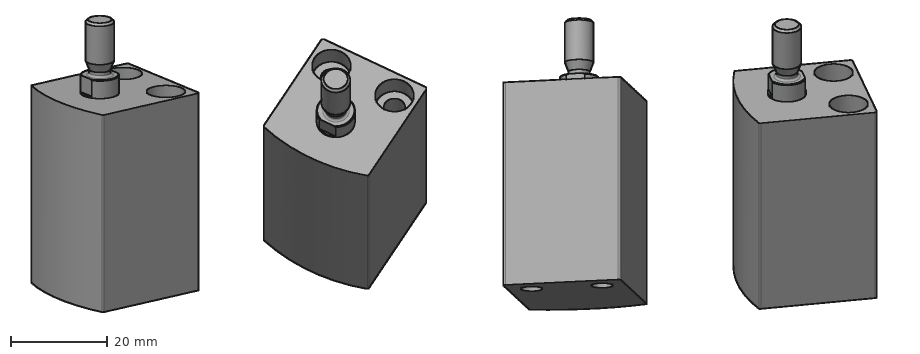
import cadquery as cq
import math

WIDTH = 25.0
SIDE_DEPTH = 25.0
DEPTH = 27.0
HOUSING_HEIGHT = 43.0
CORNER_RADIUS = 0.5
FRONT_CORNER_RADIUS = 0.35

HOLE_SPACING = 15.0
HOLE_FROM_BACK = 5.0
HOLE_DIAMETER = 4.5
COUNTERBORE_DIAMETER = 8.0
COUNTERBORE_DEPTH = 4.6

ROD_FROM_BACK = 16.5
TOTAL_HEIGHT = 59.0
COLLAR_DIAMETER = 8.0
COLLAR_HEIGHT = 4.0
COLLAR_CHAMFER = 0.2
ACROSS_FLATS = 7.0
FLAT_START = 0.35
NECK_DIAMETER = 4.5
NECK_FILLET = 0.5
NECK_LENGTH = 1.1
TAPER_LENGTH = 1.95
STUD_DIAMETER = 6.0
TIP_CHAMFER = 0.55
SOCKET_DEPTH = 5.9

SOCKET_FLOOR_Z = HOUSING_HEIGHT - SOCKET_DEPTH
BACK_Y = ROD_FROM_BACK
SIDE_FRONT_Y = BACK_Y - SIDE_DEPTH
FRONT_Y = BACK_Y - DEPTH


def make_housing():
    half = WIDTH / 2
    body = (
        cq.Workplane("XY")
        .moveTo(-half, BACK_Y)
        .lineTo(-half, SIDE_FRONT_Y)
        .threePointArc((0, FRONT_Y), (half, SIDE_FRONT_Y))
        .lineTo(half, BACK_Y)
        .close()
        .extrude(HOUSING_HEIGHT)
    )
    body = body.edges("|Z and >Y").fillet(CORNER_RADIUS)
    body = body.edges("|Z").edges("<Y").fillet(FRONT_CORNER_RADIUS)
    hole_y = BACK_Y - HOLE_FROM_BACK
    body = (
        body.faces(">Z")
        .workplane(origin=(0, 0, HOUSING_HEIGHT))
        .pushPoints([(side * HOLE_SPACING / 2, hole_y) for side in (-1, 1)])
        .cboreHole(HOLE_DIAMETER, COUNTERBORE_DIAMETER, COUNTERBORE_DEPTH)
    )
    socket = (
        cq.Workplane("XY", origin=(0, 0, SOCKET_FLOOR_Z))
        .circle(COLLAR_DIAMETER / 2)
        .extrude(SOCKET_DEPTH)
    )
    return body.cut(socket)


def make_rod():
    collar_radius = COLLAR_DIAMETER / 2
    neck_radius = NECK_DIAMETER / 2
    stud_radius = STUD_DIAMETER / 2
    collar_top = HOUSING_HEIGHT + COLLAR_HEIGHT
    taper_start = collar_top + NECK_LENGTH
    fillet_middle = NECK_FILLET * (1 - math.sqrt(0.5))
    rod = (
        cq.Workplane("XZ")
        .moveTo(0, SOCKET_FLOOR_Z)
        .lineTo(collar_radius, SOCKET_FLOOR_Z)
        .lineTo(collar_radius, collar_top - COLLAR_CHAMFER)
        .lineTo(collar_radius - COLLAR_CHAMFER, collar_top)
        .lineTo(neck_radius + NECK_FILLET, collar_top)
        .threePointArc(
            (neck_radius + fillet_middle, collar_top + fillet_middle),
            (neck_radius, collar_top + NECK_FILLET),
        )
        .lineTo(neck_radius, taper_start)
        .lineTo(stud_radius, taper_start + TAPER_LENGTH)
        .lineTo(stud_radius, TOTAL_HEIGHT - TIP_CHAMFER)
        .lineTo(stud_radius - TIP_CHAMFER, TOTAL_HEIGHT)
        .lineTo(0, TOTAL_HEIGHT)
        .close()
        .revolve(360, (0, 0, 0), (0, 1, 0))
    )
    flat_depth = (COLLAR_DIAMETER - ACROSS_FLATS) / 2
    for side in (-1, 1):
        flat_cutter = cq.Workplane(
            "XY", origin=(0, side * (ACROSS_FLATS + flat_depth) / 2, HOUSING_HEIGHT + FLAT_START)
        ).box(COLLAR_DIAMETER, flat_depth, COLLAR_HEIGHT - FLAT_START, centered=(True, True, False))
        rod = rod.cut(flat_cutter)
    return rod


housing = make_housing()
rod = make_rod()

result = cq.Compound.makeCompound([housing.val(), rod.val()])